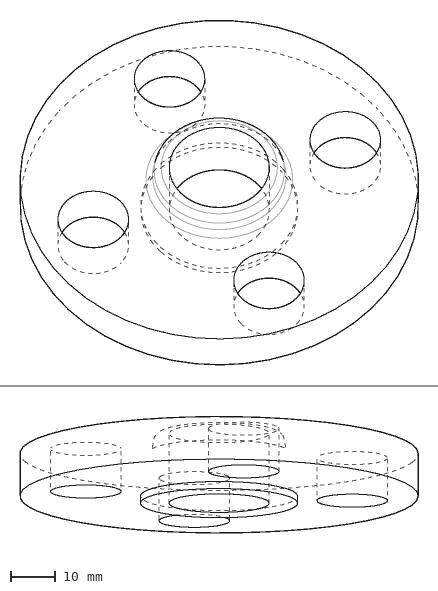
import cadquery as cq

plate_diameter = 88.9
overall_height = 15.8
bore_diameter = 22.3

face_diameter = 35.0
face_height = 1.6

hub_height = 4.5
hub_base_diameter = 30.2
hub_taper_angle = 10.0
hub_fillet = 1.6
root_fillet = 1.5

bolt_count = 4
bolt_hole_diameter = 15.7
bolt_circle_diameter = 60.4

plate_bottom = face_height
plate_top = overall_height - hub_height
plate_thickness = plate_top - plate_bottom


def disc(diameter, bottom, height):
    """Solid cylinder on the Z axis, starting at the given height."""
    return cq.Workplane("XY", origin=(0, 0, bottom)).circle(diameter / 2).extrude(height)


def tapered_hub():
    """Hub narrowing upward with a rounded top edge."""
    cone = (
        cq.Workplane("XY", origin=(0, 0, plate_top))
        .circle(hub_base_diameter / 2)
        .extrude(hub_height, taper=hub_taper_angle)
    )
    return cone.faces(">Z").edges().fillet(hub_fillet)


def root_edge_selector():
    """Box around the circle where the hub meets the plate."""
    reach = hub_base_diameter / 2 + root_fillet
    return cq.selectors.BoxSelector(
        (-reach, -reach, plate_top - root_fillet / 2),
        (reach, reach, plate_top + root_fillet / 2),
        boundingbox=True,
    )


def bolt_holes():
    """Through holes spaced evenly on the bolt circle."""
    return (
        cq.Workplane("XY")
        .polarArray(bolt_circle_diameter / 2, 0, 360, bolt_count)
        .circle(bolt_hole_diameter / 2)
        .extrude(overall_height)
    )


body = disc(plate_diameter, plate_bottom, plate_thickness)
body = body.union(disc(face_diameter, 0, face_height))
body = body.union(tapered_hub())
body = body.edges(root_edge_selector()).fillet(root_fillet)

result = body.cut(disc(bore_diameter, 0, overall_height)).cut(bolt_holes())